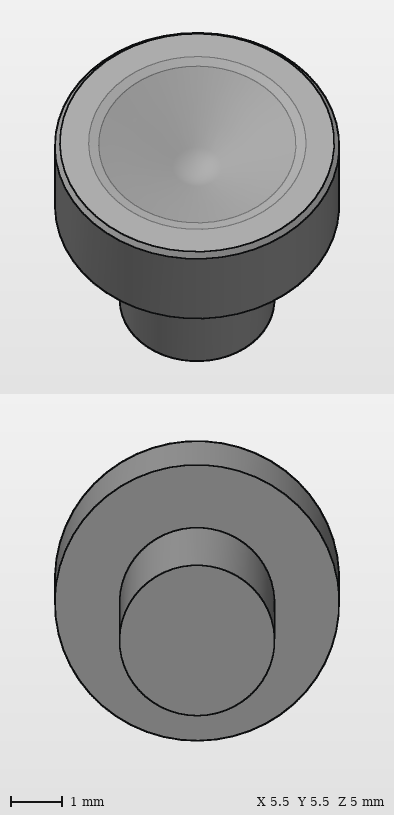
import cadquery as cq

head_diameter = 5.5
head_height = 2.0
shank_diameter = 3.0
shank_length = 3.0
rim_chamfer = 0.1

lip_diameter = 4.2
dish_diameter = 3.81
lip_depth = 0.05
dish_depth = 1.0

total_height = shank_length + head_height


def make_body():
    """Stepped round body with a chamfered upper rim, base at Z = 0."""
    shank = cq.Workplane("XY").circle(shank_diameter / 2).extrude(shank_length)
    head = (
        cq.Workplane("XY", origin=(0, 0, shank_length))
        .circle(head_diameter / 2)
        .extrude(head_height)
        .faces(">Z")
        .edges()
        .chamfer(rim_chamfer)
    )
    return shank.union(head)


def make_dish():
    """Revolved cutter: a shallow bevelled lip leading into a cone."""
    return (
        cq.Workplane("XZ")
        .moveTo(0, total_height)
        .lineTo(lip_diameter / 2, total_height)
        .lineTo(dish_diameter / 2, total_height - lip_depth)
        .lineTo(0, total_height - dish_depth)
        .close()
        .revolve(360, (0, 0, 0), (0, 1, 0))
    )


result = make_body().cut(make_dish())